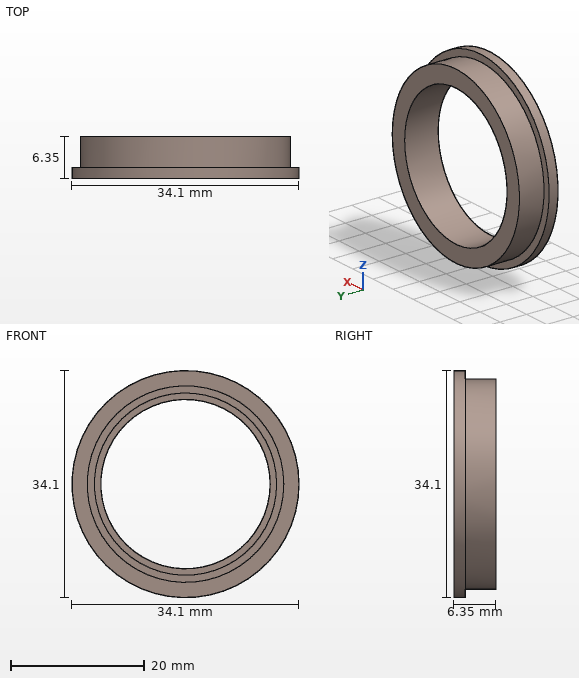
import cadquery as cq

flange_diameter = 34.12
body_diameter = 31.6
bore_diameter = 25.4
total_length = 6.35
flange_thickness = 1.7

groove_outer_diameter = 29.5
groove_inner_diameter = 27.35
groove_depth = 0.85

front_y = -total_length / 2


def disc(diameter, length):
    """Cylinder along Y that starts at the flanged face."""
    return cq.Workplane("XZ", origin=(0, front_y, 0)).circle(diameter / 2).extrude(-length)


ring = disc(body_diameter, total_length).union(disc(flange_diameter, flange_thickness))
bore = disc(bore_diameter, total_length)
groove = disc(groove_outer_diameter, groove_depth).cut(disc(groove_inner_diameter, groove_depth))

result = ring.cut(bore).cut(groove)